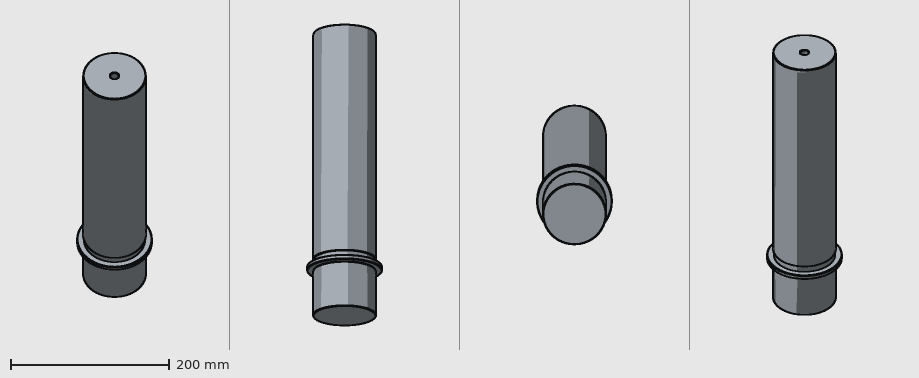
import cadquery as cq

total_height = 375.0
body_radius = 80.0 / 2
flange_radius = 95.0 / 2

lower_shank_top = 58.5
flange_bottom = 60.0
flange_top = 66.0
upper_body_bottom = 75.0

groove_depth = 1.0
groove_radius = body_radius - groove_depth

bottom_chamfer = 1.0
flange_chamfer = 1.0

lead_in_height = 4.0
lead_in_depth = 0.3
top_chamfer = 1.0
lead_in_radius = body_radius - lead_in_depth

hole_radius = 10.2 / 2
hole_mouth_radius = 12.0 / 2
hole_depth = 25.0
hole_chamfer = hole_mouth_radius - hole_radius


def make_turned_body():
    """Revolve the half profile of the pin, flange and grooves about Z."""
    profile = (
        cq.Workplane("XZ")
        .moveTo(0, 0)
        .lineTo(body_radius - bottom_chamfer, 0)
        .lineTo(body_radius, bottom_chamfer)
        .lineTo(body_radius, lower_shank_top)
        .lineTo(groove_radius, lower_shank_top + groove_depth)
        .lineTo(groove_radius, flange_bottom)
        .lineTo(flange_radius - flange_chamfer, flange_bottom)
        .lineTo(flange_radius, flange_bottom + flange_chamfer)
        .lineTo(flange_radius, flange_top - flange_chamfer)
        .lineTo(flange_radius - flange_chamfer, flange_top)
        .lineTo(groove_radius, flange_top)
        .lineTo(groove_radius, upper_body_bottom - groove_depth)
        .lineTo(body_radius, upper_body_bottom)
        .lineTo(body_radius, total_height - lead_in_height)
        .lineTo(lead_in_radius, total_height - top_chamfer)
        .lineTo(lead_in_radius - top_chamfer, total_height)
        .lineTo(0, total_height)
        .close()
    )
    return profile.revolve(360, (0, 0, 0), (0, 1, 0))


def make_top_hole():
    """Revolve the blind hole with its 45 degree mouth chamfer."""
    profile = (
        cq.Workplane("XZ")
        .moveTo(0, total_height)
        .lineTo(hole_mouth_radius, total_height)
        .lineTo(hole_radius, total_height - hole_chamfer)
        .lineTo(hole_radius, total_height - hole_depth)
        .lineTo(0, total_height - hole_depth)
        .close()
    )
    return profile.revolve(360, (0, 0, 0), (0, 1, 0))


result = make_turned_body().cut(make_top_hole())